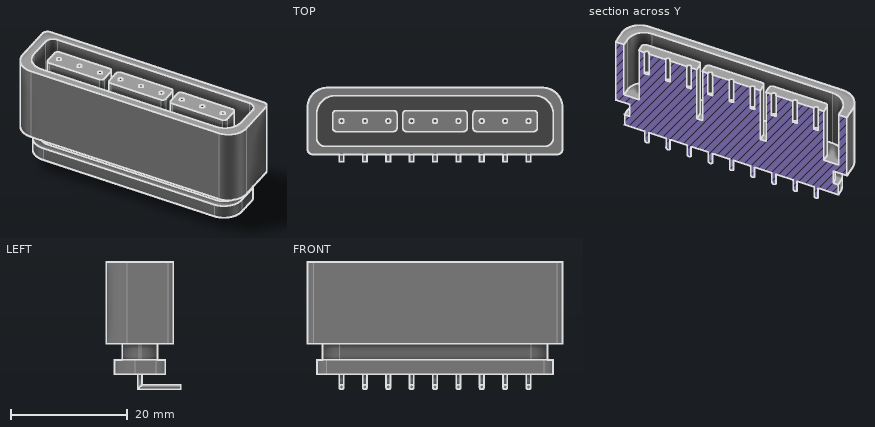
import cadquery as cq

shell_length = 43.7
shell_width = 11.5
shell_height = 14.0
shell_rear_radius = 3.5
shell_front_radius = 1.0

cavity_length = 40.5
cavity_width = 8.7
cavity_rear_radius = 3.2
cavity_front_radius = 1.5
cavity_floor = 2.0

neck_length = 38.5
neck_width = 6.1
neck_radius = 2.9
neck_height = 2.75
flange_length = 40.4
flange_width = 8.7
flange_rear_radius = 3.5
flange_front_radius = 1.6
flange_height = 2.5

post_count = 3
contacts_per_post = 3
contact_pitch = 4.0
post_pitch = contacts_per_post * contact_pitch
post_length = 11.0
post_width = 3.6
post_radius = 0.6
post_top_recess = 0.3
hole_diameter = 0.8
hole_depth = 5.0

pin_diameter = 0.8
pin_drop = 2.55
pin_reach = 7.0

shell_bottom = flange_height + neck_height
shell_top = shell_bottom + shell_height
cavity_bottom = shell_bottom + cavity_floor
post_top = shell_top - post_top_recess


def centred_positions(count, pitch):
    return [(i - (count - 1) / 2) * pitch for i in range(count)]


def rounded_block(length, width, height, bottom, rear_radius, front_radius):
    """Upright block with one radius on the +Y corners and another on the -Y corners."""
    block = cq.Workplane("XY", origin=(0, 0, bottom)).rect(length, width).extrude(height)
    block = block.edges("|Z and >Y").fillet(rear_radius)
    return block.edges("|Z and <Y").fillet(front_radius)


def make_shell():
    outside = rounded_block(
        shell_length, shell_width, shell_height, shell_bottom, shell_rear_radius, shell_front_radius
    )
    cavity = rounded_block(
        cavity_length,
        cavity_width,
        shell_height - cavity_floor,
        cavity_bottom,
        cavity_rear_radius,
        cavity_front_radius,
    )
    return outside.cut(cavity)


def make_base():
    flange = rounded_block(
        flange_length, flange_width, flange_height, 0, flange_rear_radius, flange_front_radius
    )
    neck = rounded_block(neck_length, neck_width, neck_height, flange_height, neck_radius, neck_radius)
    return flange.union(neck)


def make_post(x):
    post = rounded_block(
        post_length, post_width, post_top - cavity_bottom, cavity_bottom, post_radius, post_radius
    )
    holes = (
        cq.Workplane("XY", origin=(0, 0, post_top))
        .pushPoints([(dx, 0) for dx in centred_positions(contacts_per_post, contact_pitch)])
        .circle(hole_diameter / 2)
        .extrude(-hole_depth)
    )
    return post.cut(holes).translate((x, 0, 0))


def make_pin(x):
    """Round pin that leaves the flange downwards and turns squarely towards -Y."""
    bend_z = pin_diameter / 2 - pin_drop
    path = cq.Workplane("YZ").moveTo(0, 0).lineTo(0, bend_z).lineTo(-pin_reach, bend_z)
    pin = cq.Workplane("XY").circle(pin_diameter / 2).sweep(path, transition="right")
    return pin.translate((x, 0, 0))


result = make_base().union(make_shell())
for post_x in centred_positions(post_count, post_pitch):
    result = result.union(make_post(post_x))
for pin_x in centred_positions(post_count * contacts_per_post, contact_pitch):
    result = result.union(make_pin(pin_x))